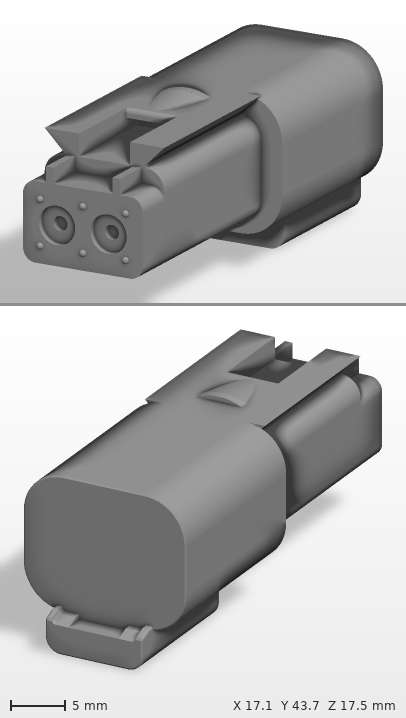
import cadquery as cq
import math

total_length = 43.7
top_z = 7.75
ledge_z = 5.5
step_y = 4.05
shell_front_y = 22.25
shell_back_y = 41.28

shell_width = 17.05
shell_height = 13.55
shell_corner = 4.25
shell_back_chamfer = 0.15
shell_bottom_z = top_z - shell_height

body_width = 12.6
body_bottom_z = -3.95
body_corner = 1.3
body_upper_corner = shell_corner - (shell_width - body_width) / 2

rail_foot_half_width = 4.32
rail_foot_z = 5.75

rib_center_x = 3.5
rib_thickness = 0.8

pocket_width = 5.37
pocket_back_y = 13.3
pocket_lip_radius = 0.5
pocket_lip_thickness = 0.87
pocket_undercut = 2.2

pointer_half_width = 2.45
pointer_height = 0.55
pointer_back_y = 19.55
pointer_shoulder_y = 18.65
pointer_tip_y = 13.65

contact_spacing = 5.4
contact_bore = 3.8
contact_bore_depth = 0.65
contact_hole = 1.45
contact_hole_depth = 1.3

pin_pitch = 4.5
pin_radius = 0.35

tab_width = 10.18
tab_bottom_z = -9.17
tab_corner = 1.55
tab_front_y = 28.8
tab_back_y = total_length - pin_radius
tab_top_z = -5.3
tab_upper_corner = 0.25
tab_back_chamfer = 0.17
tab_ramp_y = 41.98
tab_ramp_drop = 0.52
tab_rail_inner_x = 4.4
tab_rail_height = 0.45
tab_channel_width = 5.25


def box(x0, x1, y0, y1, z0, z1):
    """Axis-aligned box between two corners."""
    return cq.Workplane("XY").box(x1 - x0, y1 - y0, z1 - z0, centered=False).translate((x0, y0, z0))


def profile_at(y):
    """Workplane facing +Y at the given Y, with local (-X, Z) axes."""
    return cq.Workplane(cq.Plane(origin=(0, y, 0), xDir=(-1, 0, 0), normal=(0, 1, 0)))


def make_shell():
    """Plain rounded block bevelled around its back face."""
    half = shell_width / 2
    shell = box(-half, half, shell_front_y, shell_back_y, shell_bottom_z, top_z)
    shell = shell.edges("|Y").fillet(shell_corner)
    return shell.faces(">Y").chamfer(shell_back_chamfer)


def make_plug_body():
    half = body_width / 2
    body = box(-half, half, step_y, shell_front_y, body_bottom_z, ledge_z)
    body = body.edges("|Y and >Z").fillet(body_upper_corner)
    return body.edges("|Y and <Z").fillet(body_corner)


def make_rail():
    """Undercut rail whose flanks slope in from the full body width."""
    half = body_width / 2
    outline = [
        (-half, top_z),
        (half, top_z),
        (rail_foot_half_width, rail_foot_z),
        (rail_foot_half_width, 0),
        (-rail_foot_half_width, 0),
        (-rail_foot_half_width, rail_foot_z),
    ]
    return profile_at(step_y).polyline(outline).close().extrude(shell_front_y - step_y)


def make_nose():
    """Lower front block with two ribs that rise to the ledge level."""
    half = body_width / 2
    nose = box(-half, half, 0, step_y, body_bottom_z, -body_bottom_z)
    nose = nose.edges("|Y").fillet(body_corner)
    for x in (-rib_center_x, rib_center_x):
        nose = nose.union(box(x - rib_thickness / 2, x + rib_thickness / 2, 0, step_y, 0, ledge_z))
    return nose


def make_pocket():
    """Cutter for the latch pocket, open to the front, running under a rounded lip at its back."""
    lip_y = pocket_back_y - pocket_lip_radius
    lip_bottom_z = top_z - pocket_lip_thickness
    lip_round_offset = pocket_lip_radius * math.sqrt(0.5)
    outline = (
        cq.Workplane("YZ")
        .moveTo(step_y, ledge_z)
        .lineTo(lip_y + pocket_undercut, ledge_z)
        .lineTo(lip_y + pocket_undercut, lip_bottom_z)
        .lineTo(lip_y, lip_bottom_z)
        .lineTo(lip_y, top_z - pocket_lip_radius)
        .threePointArc(
            (pocket_back_y - lip_round_offset, top_z - pocket_lip_radius + lip_round_offset),
            (pocket_back_y, top_z),
        )
        .lineTo(step_y, top_z)
        .close()
    )
    return outline.extrude(pocket_width / 2, both=True)


def make_pointer():
    """Round-topped hump with a straight rear band and a crown sloping down to a tip."""
    radius = (pointer_half_width**2 + pointer_height**2) / (2 * pointer_height)
    crown_z = top_z + pointer_height
    slope_length = pointer_shoulder_y - pointer_tip_y
    slope_angle = math.degrees(math.atan2(pointer_height, slope_length))
    cylinder = profile_at(0).center(0, crown_z - radius).circle(radius).extrude(total_length)
    sloped = cylinder.rotate(
        (0, pointer_shoulder_y, crown_z), (1, pointer_shoulder_y, crown_z), slope_angle
    )
    half = pointer_half_width
    band_zone = box(-half, half, pointer_shoulder_y, pointer_back_y, top_z, crown_z)
    slope_zone = box(-half, half, pointer_tip_y, pointer_shoulder_y, top_z, crown_z)
    return cylinder.intersect(band_zone).union(sloped.intersect(slope_zone))


def make_ramp_cutter(half_width, ramp_top_z):
    """Cutter that leaves a flat shelf behind the shell, then a ramp falling to the tab's back end."""
    outline = [
        (shell_back_y, ramp_top_z),
        (tab_ramp_y, ramp_top_z),
        (tab_back_y, ramp_top_z - tab_ramp_drop),
        (tab_back_y, top_z),
        (shell_back_y, top_z),
    ]
    return cq.Workplane("YZ").polyline(outline).close().extrude(half_width, both=True)


def make_tab():
    """Tab with two low ramps between high side rails and a flat channel in the middle."""
    half = tab_width / 2

    tab = box(-half, half, tab_front_y, tab_back_y, tab_bottom_z, tab_top_z)
    tab = tab.edges("|Y and <Z").fillet(tab_corner)
    tab = tab.cut(make_ramp_cutter(half, tab_top_z))
    sloped_edges = "not (|X or |Y or |Z)"
    tab = tab.faces("<X or >X").edges(f"({sloped_edges}) or >Z").fillet(tab_upper_corner)
    tab = tab.faces(">Y").chamfer(tab_back_chamfer)

    low_ramps = make_ramp_cutter(tab_rail_inner_x, tab_top_z - tab_rail_height)
    low_ramps = low_ramps.faces("<X or >X").edges("not (|Z or >Z)").fillet(tab_rail_height)

    half_channel = tab_channel_width / 2
    channel_z = tab_top_z - tab_rail_height - tab_ramp_drop
    channel = box(-half_channel, half_channel, shell_back_y, tab_back_y, channel_z, tab_top_z)
    return tab.cut(low_ramps).cut(channel)


def make_contact_openings():
    """Cutter for the blind counterbored contact holes."""
    centers = [(-contact_spacing / 2, 0), (contact_spacing / 2, 0)]
    bores = profile_at(0).pushPoints(centers).circle(contact_bore / 2).extrude(contact_bore_depth)
    holes = profile_at(0).pushPoints(centers).circle(contact_hole / 2).extrude(contact_hole_depth)
    return bores.union(holes)


def make_pins():
    """Round-headed pins standing out of the nose face."""
    spots = [(column * pin_pitch, row * pin_pitch / 2) for column in (-1, 0, 1) for row in (-1, 1)]
    return cq.Workplane("XZ").pushPoints(spots).sphere(pin_radius)


result = make_shell().union(make_plug_body()).union(make_rail()).union(make_nose()).union(make_tab())
result = result.cut(make_pocket()).union(make_pointer())
result = result.cut(make_contact_openings()).union(make_pins())